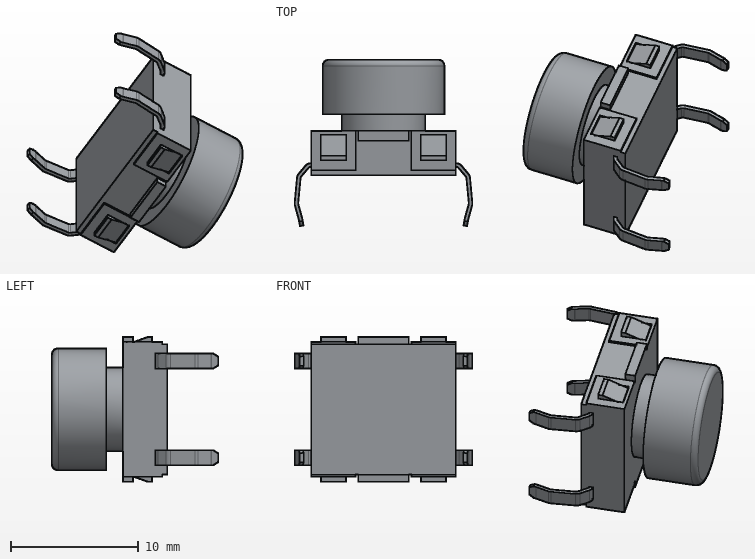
import cadquery as cq
import math


BODY_WIDTH = 11.4
BODY_DEPTH = 3.5
PAD_HALF_HEIGHT = 5.3
PAD_STEP = 0.17
BODY_HEIGHT = 2 * (PAD_HALF_HEIGHT - PAD_STEP)
PAD_WIDTH = 3.5
PAD_DEPTH = 3.1
RAIL_HALF_HEIGHT = 5.7
RAIL_WIDTH = 4.0
RAIL_DEPTH = 0.8

RAMP_WIDTH = 2.0
RAMP_CENTRE_X = BODY_WIDTH / 2 - 1.77
RAMP_BACK_Y = BODY_DEPTH - 0.3
RAMP_CREST_Y = BODY_DEPTH - 1.95
RAMP_FRONT_Y = BODY_DEPTH - 2.3
RAMP_SINK = 0.2
RAMP_LOW_Z = PAD_HALF_HEIGHT - RAMP_SINK

NECK_RADIUS = 3.3
CAP_RADIUS = 4.8
CAP_BASE_Y = 4.8
CAP_TOP_Y = 9.1
CAP_EDGE_RADIUS = 0.5

PIN_THICKNESS = 0.3
PIN_WIDTH = 1.2
PIN_CENTRE_Z = 3.8
PIN_BEND_RADIUS = 0.46
PIN_TIP_LENGTH = 0.4
PIN_TIP_INSET = 0.25
PIN_ROOT = (5.3, 0.9)
PIN_BENDS = [(5.93, 0.77), (6.65, -0.08), (6.855, -2.25), (6.535, -3.4)]
PIN_END = (6.43, -3.97)


def box_between(x_range, y_range, z_range):
    """Axis-aligned box spanning the given ranges."""
    sizes = [high - low for low, high in (x_range, y_range, z_range)]
    corner = (x_range[0], y_range[0], z_range[0])
    return cq.Workplane("XY").box(*sizes, centered=False).translate(corner)


def extrude_along_x(points_yz, centre_x, width):
    """Prism with a YZ outline, centred on the given X."""
    prism = cq.Workplane("YZ").polyline(points_yz).close().extrude(width / 2, both=True)
    return prism.translate((centre_x, 0, 0))


def mirrored_pair(shape, plane):
    return shape.union(shape.mirror(plane))


def make_housing():
    half_width = BODY_WIDTH / 2
    housing = cq.Workplane("XY").box(BODY_WIDTH, BODY_DEPTH, BODY_HEIGHT)
    housing = housing.translate((0, BODY_DEPTH / 2, 0))
    pad = box_between(
        (half_width - PAD_WIDTH, half_width),
        (BODY_DEPTH - PAD_DEPTH, BODY_DEPTH),
        (0, PAD_HALF_HEIGHT),
    )
    rail = box_between(
        (-RAIL_WIDTH / 2, RAIL_WIDTH / 2),
        (BODY_DEPTH - RAIL_DEPTH, BODY_DEPTH),
        (0, RAIL_HALF_HEIGHT),
    )
    pads = mirrored_pair(mirrored_pair(pad, "YZ"), "XY")
    return housing.union(pads).union(mirrored_pair(rail, "XY"))


def make_windows():
    """Openings cut into the pads, down to the low end of the slopes."""
    window = box_between(
        (RAMP_CENTRE_X - RAMP_WIDTH / 2, RAMP_CENTRE_X + RAMP_WIDTH / 2),
        (RAMP_FRONT_Y, RAMP_BACK_Y),
        (RAMP_LOW_Z, RAIL_HALF_HEIGHT),
    )
    return mirrored_pair(mirrored_pair(window, "YZ"), "XY")


def make_ramps():
    outline = [
        (RAMP_FRONT_Y, 0),
        (RAMP_BACK_Y, 0),
        (RAMP_BACK_Y, RAMP_LOW_Z),
        (RAMP_CREST_Y, RAIL_HALF_HEIGHT),
        (RAMP_FRONT_Y, RAIL_HALF_HEIGHT),
    ]
    ramp = extrude_along_x(outline, RAMP_CENTRE_X, RAMP_WIDTH)
    return mirrored_pair(mirrored_pair(ramp, "YZ"), "XY")


def disc_along_y(radius, start_y, end_y):
    disc = cq.Workplane("XZ").circle(radius).extrude(start_y - end_y)
    return disc.translate((0, start_y, 0))


def make_button():
    neck = disc_along_y(NECK_RADIUS, BODY_DEPTH / 2, CAP_BASE_Y)
    cap = disc_along_y(CAP_RADIUS, CAP_BASE_Y, CAP_TOP_Y)
    cap = cap.faces(">Y").edges().fillet(CAP_EDGE_RADIUS)
    return neck.union(cap)


def point_towards(start, target, distance):
    span = math.dist(start, target)
    return tuple(a + (b - a) * distance / span for a, b in zip(start, target))


def bend_arc(before, corner, after):
    """Start, middle and end of the arc that rounds one corner of the pin path."""
    unit_in = point_towards((0, 0), (before[0] - corner[0], before[1] - corner[1]), 1)
    unit_out = point_towards((0, 0), (after[0] - corner[0], after[1] - corner[1]), 1)
    half_angle = math.acos(unit_in[0] * unit_out[0] + unit_in[1] * unit_out[1]) / 2
    tangent = PIN_BEND_RADIUS / math.tan(half_angle)
    apex = PIN_BEND_RADIUS / math.sin(half_angle) - PIN_BEND_RADIUS
    bisector = (corner[0] + unit_in[0] + unit_out[0], corner[1] + unit_in[1] + unit_out[1])
    return (
        point_towards(corner, before, tangent),
        point_towards(corner, bisector, apex),
        point_towards(corner, after, tangent),
    )


def make_pin():
    """One +X terminal: a flat strip swept along its bent centreline, tapered at the tip."""
    points = [PIN_ROOT, *PIN_BENDS, PIN_END]
    path = cq.Workplane("XY").moveTo(*PIN_ROOT)
    for before, corner, after in zip(points, points[1:], points[2:]):
        arc_start, arc_middle, arc_end = bend_arc(before, corner, after)
        path = path.lineTo(*arc_start).threePointArc(arc_middle, arc_end)
    path = path.lineTo(*PIN_END)

    first_bend = PIN_BENDS[0]
    direction = (first_bend[0] - PIN_ROOT[0], first_bend[1] - PIN_ROOT[1], 0)
    section = cq.Plane(origin=(*PIN_ROOT, 0), xDir=(0, 0, 1), normal=direction)
    strip = cq.Workplane(section).rect(PIN_WIDTH, PIN_THICKNESS).sweep(path)

    half_width = PIN_WIDTH / 2
    tip_y = strip.val().BoundingBox().ymin
    corner_outline = [
        (tip_y, half_width - PIN_TIP_INSET),
        (tip_y, half_width),
        (tip_y + PIN_TIP_LENGTH, half_width),
    ]
    tip_corner = extrude_along_x(corner_outline, PIN_END[0], PIN_WIDTH)
    return strip.cut(mirrored_pair(tip_corner, "XY"))


def make_pins():
    pin = make_pin().translate((0, 0, PIN_CENTRE_Z))
    return mirrored_pair(mirrored_pair(pin, "YZ"), "XY")


result = make_housing().cut(make_windows()).union(make_ramps())
result = result.union(make_button()).union(make_pins())